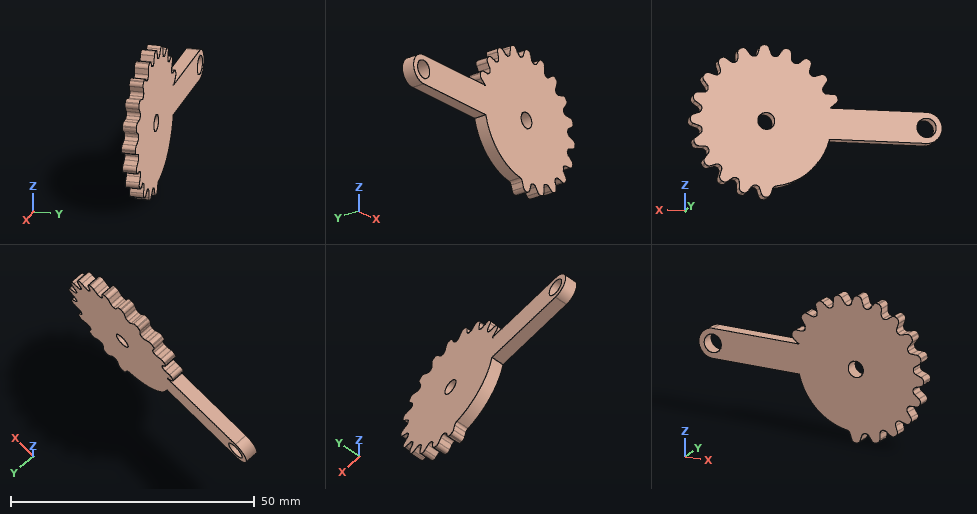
import cadquery as cq
import math


thickness = 3.0

tip_radius = 16.0
root_radius = 13.75
shaft_hole_diameter = 3.5

tooth_count = 15
first_tooth_angle = -89.9
last_tooth_angle = 159.9
tooth_pitch = (last_tooth_angle - first_tooth_angle) / (tooth_count - 1)
tip_land_width = 0.2
tooth_tip_round = 0.95
flank_angle = 18.5
root_fillet = 0.9
tooth_embed = 1.05

arm_width = 6.55
arm_end_radius = arm_width / 2
overall_length = 53.0
arm_length = overall_length - tip_radius - arm_end_radius
arm_hole_diameter = 4.0

tolerance = 0.005


def plate_sketch():
    """Workplane whose positive extrusion of one thickness is centred on Y = 0."""
    return cq.Workplane("XZ", origin=(0, thickness / 2, 0))


def make_tooth(angle):
    """One tooth drawn along +X, then turned about the gear axis to its angle."""
    lean = math.radians(flank_angle)
    land_half = tip_land_width / 2
    shoulder_x = tip_radius - tooth_tip_round * (1 - math.sin(lean))
    shoulder_half = land_half + tooth_tip_round * math.cos(lean)
    base_x = root_radius - tooth_embed
    base_half = shoulder_half + (shoulder_x - base_x) * math.tan(lean)
    tooth = (
        plate_sketch()
        .moveTo(base_x, -base_half)
        .lineTo(shoulder_x, -shoulder_half)
        .radiusArc((tip_radius, -land_half), -tooth_tip_round)
        .lineTo(tip_radius, land_half)
        .radiusArc((shoulder_x, shoulder_half), -tooth_tip_round)
        .lineTo(base_x, base_half)
        .close()
        .extrude(thickness)
    )
    return tooth.rotate((0, 0, 0), (0, -1, 0), angle)


def make_arm():
    """Straight bar from the gear axis to a rounded free end."""
    bar = (
        plate_sketch()
        .center(-arm_length / 2, 0)
        .rect(arm_length, arm_width)
        .extrude(thickness)
    )
    end = plate_sketch().center(-arm_length, 0).circle(arm_end_radius).extrude(thickness)
    return bar.union(end)


def is_tooth_root(edge):
    """True for an edge where a flank meets the root circle, leaving out the arm corners."""
    middle = edge.Center()
    on_root_circle = abs(math.hypot(middle.x, middle.z) - root_radius) < tolerance
    beside_arm = middle.x < 0 and abs(middle.z) < arm_width / 2 + tolerance
    return on_root_circle and not beside_arm


def hole(x, diameter):
    """Cutter for a hole through the full thickness."""
    return plate_sketch().center(x, 0).circle(diameter / 2).extrude(thickness)


body = plate_sketch().circle(root_radius).extrude(thickness)
for index in range(tooth_count):
    body = body.union(make_tooth(first_tooth_angle + index * tooth_pitch))
body = body.union(make_arm())
body = body.edges("|Y").filter(is_tooth_root).fillet(root_fillet)

result = body.cut(hole(0, shaft_hole_diameter)).cut(hole(-arm_length, arm_hole_diameter))